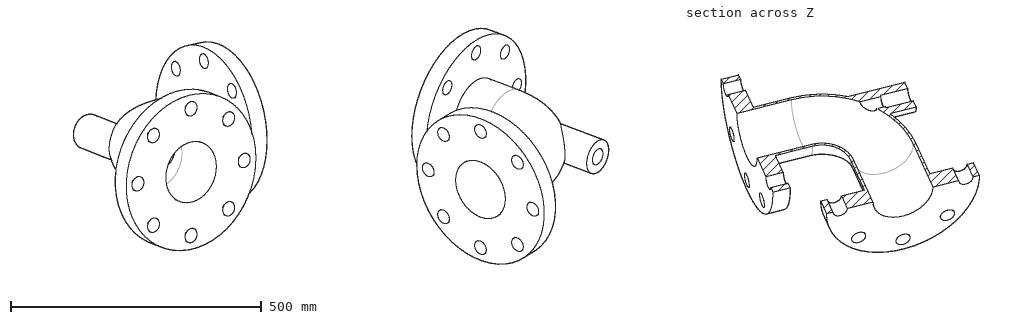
import cadquery as cq

flange_diameter = 322.5
flange_thickness = 37.0
bolt_circle_diameter = 264.3
bolt_hole_diameter = 29.5
bolt_count = 8

pipe_diameter = 138.7
wall_thickness = 6.5
bend_radius = 129.0
overall_x = 404.5
overall_y = 411.5
x_leg_end = overall_x - flange_diameter / 2
y_leg_end = overall_y - flange_diameter / 2

nozzle_diameter = 71.5
nozzle_end = -101.0
nozzle_bore_diameter = 33.8
nozzle_bore_depth = 57.5
throat_diameter = 27.0

x_end_plane = cq.Plane(origin=(x_leg_end, 0, 0), xDir=(0, 1, 0), normal=(-1, 0, 0))
y_end_plane = cq.Plane(origin=(0, y_leg_end, 0), xDir=(1, 0, 0), normal=(0, -1, 0))
nozzle_plane = cq.Plane(origin=(nozzle_end, 0, 0), xDir=(0, 0, 1), normal=(1, 0, 0))


def elbow(diameter):
    """Solid round elbow: a straight leg, a quarter bend and a second straight leg."""
    radius = diameter / 2
    x_leg = cq.Workplane(x_end_plane).circle(radius).extrude(x_leg_end - bend_radius)
    y_leg = cq.Workplane(y_end_plane).circle(radius).extrude(y_leg_end - bend_radius)
    bend = (
        cq.Workplane("XZ", origin=(0, bend_radius, 0))
        .circle(radius)
        .revolve(90, (bend_radius, 0, 0), (bend_radius, 1, 0))
    )
    return x_leg.union(bend).union(y_leg)


def flange(end_plane):
    """Disc with a ring of bolt holes."""
    disc = cq.Workplane(end_plane).circle(flange_diameter / 2).extrude(flange_thickness)
    bolt_holes = (
        cq.Workplane(end_plane)
        .polarArray(bolt_circle_diameter / 2, 0, 360, bolt_count)
        .circle(bolt_hole_diameter / 2)
        .extrude(flange_thickness)
    )
    return disc.cut(bolt_holes)


def nozzle_cylinder(diameter, length):
    """Cylinder on the nozzle axis, starting at the nozzle's open end."""
    return cq.Workplane(nozzle_plane).circle(diameter / 2).extrude(length)


nozzle_length = bend_radius - nozzle_end
body = elbow(pipe_diameter).union(nozzle_cylinder(nozzle_diameter, nozzle_length))
for end_plane in (x_end_plane, y_end_plane):
    body = body.union(flange(end_plane))

body = body.cut(elbow(pipe_diameter - 2 * wall_thickness))
body = body.cut(nozzle_cylinder(nozzle_bore_diameter, nozzle_bore_depth))
body = body.cut(nozzle_cylinder(throat_diameter, nozzle_length))

result = body